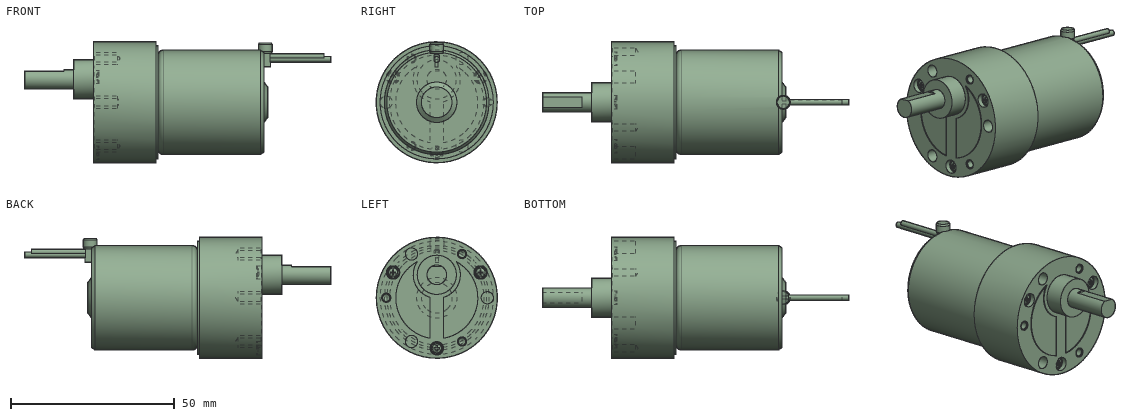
import cadquery as cq
import math


shaft_radius = 3.0
shaft_offset = 7.0
shaft_flat_height = 2.5
shaft_flat_length = 12.0
boss_radius = 6.0
boss_start = 15.0
shaft_root = 22.4

gearbox_start = 20.9
gearbox_end = 40.1
gearbox_radius = 18.5
rim_end = 40.8
rim_radius = 17.3

relief_radius = 12.5
relief_depth = 0.3
ring_radius = 7.2
rib_width = 4.1

hole_pitch_radius = 15.4
hole_depth = 7.5
plain_hole_radius = 1.9
thread_radius = 1.4
thread_entry_depth = 0.4
tap_drill_radius = 1.1
drill_tip_angle = 118
screw_pocket_radius = 2.1
screw_pocket_depth = 1.7
screw_head_radius = 1.8
screw_head_height = 0.3
screw_dome_radius = 1.4
screw_dome_height = 0.5
cross_length = 1.6
cross_width = 0.4
cross_depth = 0.5

motor_end = 73.1
motor_radius = 16.0
motor_front_fillet = 1.6
motor_rear_chamfer_length = 1.1
motor_rear_chamfer_height = 0.75
cap_end = 74.2
cap_base_radius = 6.2
cap_top_radius = 4.7

button_x = 73.5
button_radius = 2.15
button_bottom = 14.9
button_top = 18.1
button_chamfer_height = 0.6
button_chamfer_width = 0.3
tab_end = 75.1
tab_bottom = 10.8
tab_top = 15.9
tab_width = 0.9
wire_radius = 0.89
wire_start = 74.9
upper_wire_end = 91.4
upper_wire_z = 13.9
lower_wire_end = 93.5
lower_wire_z = 13.1


def cylinder_x(start, end, radius, y=0, z=0):
    """Cylinder along X between two X positions."""
    return cq.Workplane("YZ", origin=(start, y, z)).circle(radius).extrude(end - start)


def revolved_x(profile):
    """Solid of revolution about X from a closed profile of (x, radius) points."""
    return cq.Workplane("XY").polyline(profile).close().revolve(360, (0, 0, 0), (1, 0, 0))


def on_pitch_circle(feature, angles):
    """Copies of a feature built on the X axis, moved to angles measured from +Y towards +Z."""
    copies = cq.Workplane("XY")
    for angle in angles:
        y = hole_pitch_radius * math.cos(math.radians(angle))
        z = hole_pitch_radius * math.sin(math.radians(angle))
        copies = copies.add(feature.translate((0, y, z)))
    return copies.combine()


def output_shaft():
    shaft = cylinder_x(0, shaft_root, shaft_radius, z=shaft_offset)
    above_flat = cq.Workplane("XY").box(
        shaft_flat_length, 2 * shaft_radius, shaft_radius, centered=(False, True, False)
    ).translate((0, 0, shaft_offset + shaft_flat_height))
    boss = cylinder_x(boss_start, shaft_root, boss_radius, z=shaft_offset)
    return shaft.cut(above_flat).union(boss)


def face_relief():
    relief_end = gearbox_start + relief_depth
    relief = cylinder_x(gearbox_start, relief_end, relief_radius)
    ring = cylinder_x(gearbox_start, relief_end, ring_radius, z=shaft_offset)
    rib = cq.Workplane("XY").box(
        relief_depth, rib_width, relief_radius + shaft_offset, centered=(False, True, False)
    ).translate((gearbox_start, 0, -relief_radius))
    return relief.cut(ring).cut(rib)


def threaded_hole():
    entry_end = gearbox_start + thread_entry_depth
    drill_end = gearbox_start + hole_depth
    tip_length = tap_drill_radius / math.tan(math.radians(drill_tip_angle / 2))
    return revolved_x([
        (gearbox_start, 0),
        (gearbox_start, thread_radius),
        (entry_end, thread_radius),
        (entry_end, tap_drill_radius),
        (drill_end, tap_drill_radius),
        (drill_end + tip_length, 0),
    ])


def screw_head():
    """Domed head with a cross recess, standing on the floor of its pocket."""
    floor = gearbox_start + screw_pocket_depth
    dome_base = floor - screw_head_height
    dome_top = dome_base - screw_dome_height
    sphere_radius = (screw_dome_radius**2 + screw_dome_height**2) / (2 * screw_dome_height)
    sphere = cq.Workplane("XY").sphere(sphere_radius).translate((dome_top + sphere_radius, 0, 0))
    dome = cylinder_x(dome_top, dome_base, screw_dome_radius).intersect(sphere)
    head = cylinder_x(dome_base, floor, screw_head_radius).union(dome)
    cross = (
        cq.Workplane("YZ", origin=(dome_top, 0, 0))
        .rect(cross_length, cross_width)
        .extrude(cross_depth)
    )
    return head.cut(cross).cut(cross.rotate((0, 0, 0), (1, 0, 0), 90))


def gearbox():
    body = cylinder_x(gearbox_start, gearbox_end, gearbox_radius)
    body = body.union(cylinder_x(gearbox_end, rim_end, rim_radius))
    plain_hole = cylinder_x(gearbox_start, gearbox_start + hole_depth, plain_hole_radius)
    screw_pocket = cylinder_x(gearbox_start, gearbox_start + screw_pocket_depth, screw_pocket_radius)
    screw = screw_pocket.cut(screw_head())
    return (
        body.cut(face_relief())
        .cut(on_pitch_circle(plain_hole, (60, 180, 300)))
        .cut(on_pitch_circle(threaded_hole(), (0, 120, 240)))
        .cut(on_pitch_circle(screw, (30, 150, 270)))
    )


def motor():
    fillet_offset = motor_front_fillet * (1 - math.sqrt(0.5))
    can = (
        cq.Workplane("XY")
        .moveTo(rim_end, 0)
        .lineTo(rim_end, motor_radius - motor_front_fillet)
        .threePointArc(
            (rim_end + fillet_offset, motor_radius - fillet_offset),
            (rim_end + motor_front_fillet, motor_radius),
        )
        .lineTo(motor_end - motor_rear_chamfer_length, motor_radius)
        .lineTo(motor_end, motor_radius - motor_rear_chamfer_height)
        .lineTo(motor_end, 0)
        .close()
        .revolve(360, (0, 0, 0), (1, 0, 0))
    )
    cap = revolved_x([
        (motor_end, 0),
        (motor_end, cap_base_radius),
        (cap_end, cap_top_radius),
        (cap_end, 0),
    ])
    return can.union(cap)


def terminal():
    button = (
        cq.Workplane("XY", origin=(button_x, 0, button_bottom))
        .circle(button_radius)
        .extrude(button_top - button_bottom)
        .faces(">Z or <Z")
        .chamfer(button_chamfer_height, button_chamfer_width)
    )
    tab = cq.Workplane("XY").box(
        tab_end - motor_end, tab_width, tab_top - tab_bottom, centered=(False, True, False)
    ).translate((motor_end, 0, tab_bottom))
    upper_wire = cylinder_x(wire_start, upper_wire_end, wire_radius, z=upper_wire_z)
    lower_wire = cylinder_x(wire_start, lower_wire_end, wire_radius, z=lower_wire_z)
    return button.union(tab).union(upper_wire).union(lower_wire)


result = gearbox().union(output_shaft()).union(motor()).union(terminal())